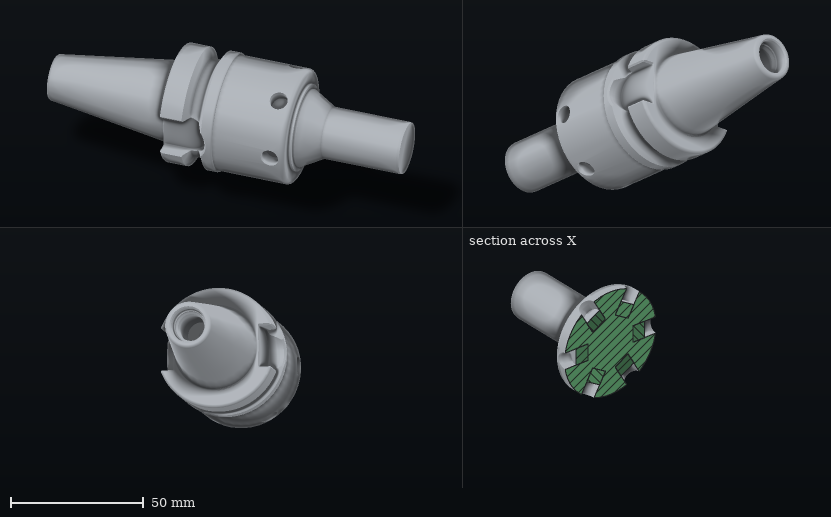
import cadquery as cq
import math

OVERALL_LENGTH = 140.4

TAPER_LENGTH = 48.5
GAUGE_RADIUS = 15.9
TAPER_SLOPE = 7 / 24 / 2
SMALL_END_RADIUS = GAUGE_RADIUS - TAPER_LENGTH * TAPER_SLOPE
SMALL_END_FILLET = 1.4
TAPER_ROOT_FILLET = 0.7

FLANGE_RADIUS = 23.0
FLANGE_START = TAPER_LENGTH + TAPER_ROOT_FILLET
FLANGE_REAR_FILLET = 1.3
GROOVE_START = 58.0
GROOVE_END = 66.0
GROOVE_RADIUS = 19.0
GROOVE_ROOT_FILLET = 0.5
GROOVE_SIDE_RUN = (FLANGE_RADIUS - GROOVE_RADIUS) * math.tan(math.radians(30))
FLANGE_END = 70.3

BODY_RADIUS = 22.3
FLANGE_FRONT_FILLET = FLANGE_RADIUS - BODY_RADIUS
BODY_END = 98.7
BODY_FRONT_FILLET = 1.7
COLLAR_RADIUS = 16.8
COLLAR_END = 100.0
CONE_START = 100.8
CONE_START_RADIUS = 30.0 / 2
NOSE_START = 109.7
NOSE_RADIUS = 20.1 / 2
NOSE_CHAMFER_LENGTH = 1.0
NOSE_CHAMFER_DEPTH = 0.1

SLOT_HALF_WIDTH = 7.9
SLOT_FLOOR_Y = 16.3
SLOT_END = 67.4
SLOT_FLOOR_FILLET = 0.4
SLOT_RIM_CHAMFER = 0.7

BORE_MOUTH_RADIUS = 7.0
COUNTERBORE_RADIUS = 13.0 / 2
COUNTERBORE_DEPTH = 4.6
STEP_RADIUS = 12.0 / 2
STEP_DEPTH = 5.3
BORE_RADIUS = 10.2 / 2
BORE_DEPTH = 23.9
DOME_RADIUS = 2.0 / 2

SCREW_COUNT = 6
SCREW_X = 93.2
SCREW_DIAMETER = 6.9
SCREW_FACE_RADIUS = 16.7
SCREW_LENGTH = 5.6
SCREW_SEAT_RADIUS = SCREW_FACE_RADIUS - SCREW_LENGTH
SCREW_ANGLES = [i * 360 / SCREW_COUNT for i in range(SCREW_COUNT)]

TOLERANCE = 0.01


def revolve_about_x(outline):
    return outline.close().revolve(360, (0, 0, 0), (1, 0, 0))


def radial_cylinder(inner_radius, length, angle):
    """Cylinder of the screw diameter along a radius, starting at inner_radius."""
    return (
        cq.Workplane("XZ", origin=(SCREW_X, 0, 0))
        .workplane(offset=inner_radius)
        .circle(SCREW_DIAMETER / 2)
        .extrude(length)
        .rotate((0, 0, 0), (1, 0, 0), angle)
    )


def fillet_circle(shape, x, radius, fillet):
    """Round the full circular edge of the given radius at x."""
    edges = [
        edge
        for edge in shape.edges("%CIRCLE").vals()
        if abs(edge.Center().x - x) < TOLERANCE and abs(edge.radius() - radius) < TOLERANCE
    ]
    return shape.newObject(edges).fillet(fillet)


def outer_shape():
    """Shank, flange, body and nose as one turned blank, with no groove or slots yet."""
    blank = revolve_about_x(
        cq.Workplane("XY")
        .lineTo(0, SMALL_END_RADIUS)
        .lineTo(TAPER_LENGTH, GAUGE_RADIUS)
        .radiusArc((FLANGE_START, GAUGE_RADIUS + TAPER_ROOT_FILLET), -TAPER_ROOT_FILLET)
        .lineTo(FLANGE_START, FLANGE_RADIUS)
        .lineTo(FLANGE_END - FLANGE_FRONT_FILLET, FLANGE_RADIUS)
        .radiusArc((FLANGE_END, BODY_RADIUS), FLANGE_FRONT_FILLET)
        .lineTo(BODY_END, BODY_RADIUS)
        .lineTo(BODY_END, COLLAR_RADIUS)
        .lineTo(COLLAR_END, COLLAR_RADIUS)
        .lineTo(COLLAR_END, CONE_START_RADIUS)
        .lineTo(CONE_START, CONE_START_RADIUS)
        .lineTo(NOSE_START, NOSE_RADIUS)
        .lineTo(OVERALL_LENGTH - NOSE_CHAMFER_LENGTH, NOSE_RADIUS)
        .lineTo(OVERALL_LENGTH, NOSE_RADIUS - NOSE_CHAMFER_DEPTH)
        .lineTo(OVERALL_LENGTH, 0)
    )
    blank = fillet_circle(blank, 0, SMALL_END_RADIUS, SMALL_END_FILLET)
    return fillet_circle(blank, BODY_END, BODY_RADIUS, BODY_FRONT_FILLET)


def slot_cutter():
    """Cutter for the -Y slot: flared at the rear face, round at the front, with a rounded floor edge."""
    round_centre = SLOT_END - SLOT_HALF_WIDTH
    flare_end = FLANGE_START + SLOT_RIM_CHAMFER
    flare_half_width = SLOT_HALF_WIDTH + SLOT_RIM_CHAMFER
    cutter = (
        cq.Workplane("XZ", origin=(0, -SLOT_FLOOR_Y, 0))
        .moveTo(FLANGE_START, -flare_half_width)
        .lineTo(flare_end, -SLOT_HALF_WIDTH)
        .lineTo(round_centre, -SLOT_HALF_WIDTH)
        .threePointArc((SLOT_END, 0), (round_centre, SLOT_HALF_WIDTH))
        .lineTo(flare_end, SLOT_HALF_WIDTH)
        .lineTo(FLANGE_START, flare_half_width)
        .close()
        .extrude(FLANGE_RADIUS)
    )
    return cutter.faces(">Y").edges("not <X").fillet(SLOT_FLOOR_FILLET)


def is_slot_rim(edge):
    """True for the edges where a slot breaks through the flange's outer surface."""
    ends = [edge.positionAt(0), edge.positionAt(1)]
    on_flange = all(abs(math.hypot(p.y, p.z) - FLANGE_RADIUS) < TOLERANCE for p in ends)
    within_slot = abs(edge.Center().z) < SLOT_HALF_WIDTH + TOLERANCE
    return on_flange and within_slot and FLANGE_START + SLOT_RIM_CHAMFER < edge.Center().x < SLOT_END


def cut_drive_slots(blank):
    cutter = slot_cutter()
    slotted = blank.cut(cutter).cut(cutter.mirror("XZ"))
    rim = [edge for edge in slotted.edges().vals() if is_slot_rim(edge)]
    return slotted.newObject(rim).chamfer(SLOT_RIM_CHAMFER)


def flange_rear_round():
    """Ring that rounds the flange's rear outer edge when cut away."""
    return revolve_about_x(
        cq.Workplane("XY")
        .moveTo(FLANGE_START, FLANGE_RADIUS - FLANGE_REAR_FILLET)
        .radiusArc((FLANGE_START + FLANGE_REAR_FILLET, FLANGE_RADIUS), FLANGE_REAR_FILLET)
        .lineTo(FLANGE_START, FLANGE_RADIUS)
    )


def v_groove():
    """Ring that leaves the V-groove, with both corners at its floor rounded."""
    floor_start = GROOVE_START + GROOVE_SIDE_RUN
    floor_end = GROOVE_END - GROOVE_SIDE_RUN
    clearance = 1.4
    ring = revolve_about_x(
        cq.Workplane("XY")
        .moveTo(GROOVE_START, FLANGE_RADIUS + clearance)
        .lineTo(GROOVE_START, FLANGE_RADIUS)
        .lineTo(floor_start, GROOVE_RADIUS)
        .lineTo(floor_end, GROOVE_RADIUS)
        .lineTo(GROOVE_END, FLANGE_RADIUS)
        .lineTo(GROOVE_END, FLANGE_RADIUS + clearance)
    )
    ring = fillet_circle(ring, floor_start, GROOVE_RADIUS, GROOVE_ROOT_FILLET)
    return fillet_circle(ring, floor_end, GROOVE_RADIUS, GROOVE_ROOT_FILLET)


def bore():
    mouth_chamfer = BORE_MOUTH_RADIUS - COUNTERBORE_RADIUS
    cone_end = STEP_DEPTH + STEP_RADIUS - BORE_RADIUS
    return revolve_about_x(
        cq.Workplane("XY")
        .moveTo(0, 0)
        .lineTo(0, BORE_MOUTH_RADIUS)
        .lineTo(mouth_chamfer, COUNTERBORE_RADIUS)
        .lineTo(COUNTERBORE_DEPTH, COUNTERBORE_RADIUS)
        .lineTo(COUNTERBORE_DEPTH, STEP_RADIUS)
        .lineTo(STEP_DEPTH, STEP_RADIUS)
        .lineTo(cone_end, BORE_RADIUS)
        .lineTo(BORE_DEPTH, BORE_RADIUS)
        .lineTo(BORE_DEPTH, DOME_RADIUS)
        .radiusArc((BORE_DEPTH - DOME_RADIUS, 0), -DOME_RADIUS)
    )


def make_holder():
    holder = cut_drive_slots(outer_shape())
    for cutter in (flange_rear_round(), v_groove(), bore()):
        holder = holder.cut(cutter)
    hole_length = FLANGE_RADIUS - SCREW_SEAT_RADIUS
    for angle in SCREW_ANGLES:
        holder = holder.cut(radial_cylinder(SCREW_SEAT_RADIUS, hole_length, angle))
    return holder


def make_screw(angle):
    return radial_cylinder(SCREW_SEAT_RADIUS, SCREW_LENGTH, angle)


holder = make_holder()
screws = [make_screw(angle) for angle in SCREW_ANGLES]

result = cq.Compound.makeCompound([holder.val(), *[screw.val() for screw in screws]])